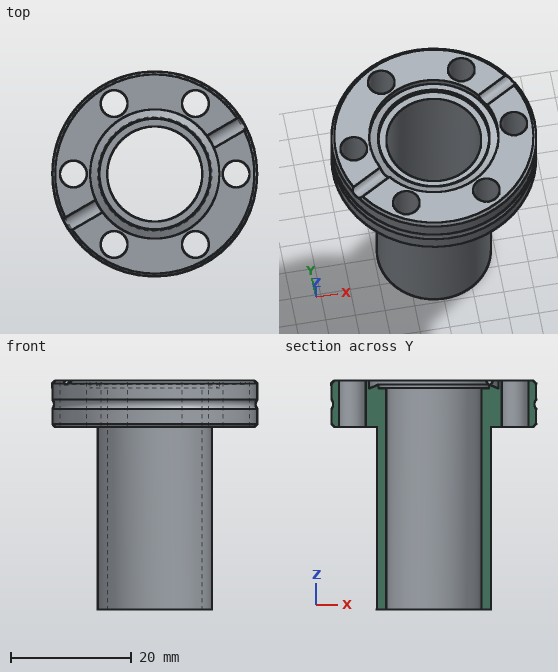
import cadquery as cq
import math

total_height = 38.0
flange_diameter = 34.0
flange_thickness = 7.75
flange_chamfer = 0.5
tube_diameter = 19.0
bore_diameter = 15.75

groove_top_depth = 3.2
groove_width = 1.52
groove_depth = 0.25

recess_diameter = 21.45
recess_depth = 1.3
knife_diameter = 18.3
knife_tip_depth = 0.7
knife_tip_width = 0.1
seat_depth = 1.3

bolt_count = 6
bolt_circle_diameter = 26.98
bolt_hole_diameter = 4.4

channel_width = 2.35
channel_depth = 0.7
channel_angle = 30.0

flange_radius = flange_diameter / 2
flange_bottom = total_height - flange_thickness
groove_top = total_height - groove_top_depth
channel_radius = channel_width**2 / (8 * channel_depth) + channel_depth / 2


def make_body():
    """Chamfered flange on top of the tube, still solid inside."""
    tube = cq.Workplane("XY").circle(tube_diameter / 2).extrude(total_height)
    flange = (
        cq.Workplane("XY", origin=(0, 0, flange_bottom))
        .circle(flange_radius)
        .extrude(flange_thickness)
        .edges()
        .chamfer(flange_chamfer)
    )
    return tube.union(flange)


def make_rim_groove():
    """Ring cutter with an arc-shaped section."""
    groove_middle = (flange_radius - groove_depth, groove_top - groove_width / 2)
    return (
        cq.Workplane("XZ")
        .moveTo(flange_radius, groove_top)
        .threePointArc(groove_middle, (flange_radius, groove_top - groove_width))
        .close()
        .revolve(360, (0, 0, 0), (0, 1, 0))
    )


def make_seal_recess():
    """Cutter that leaves the knife edge standing between the recess and the inner seat."""
    profile = [
        (0, total_height),
        (recess_diameter / 2, total_height),
        (recess_diameter / 2, total_height - recess_depth),
        (knife_diameter / 2 + knife_tip_width, total_height - knife_tip_depth),
        (knife_diameter / 2, total_height - knife_tip_depth),
        (knife_diameter / 2, total_height - seat_depth),
        (0, total_height - seat_depth),
    ]
    return cq.Workplane("XZ").polyline(profile).close().revolve(360, (0, 0, 0), (0, 1, 0))


def make_bolt_holes():
    return (
        cq.Workplane("XY", origin=(0, 0, flange_bottom))
        .polarArray(bolt_circle_diameter / 2, 0, 360, bolt_count)
        .circle(bolt_hole_diameter / 2)
        .extrude(flange_thickness)
    )


def make_channels():
    """Two opposite channels running from the seal recess to the rim."""
    channels = cq.Workplane("XY")
    axis_height = total_height - channel_depth + channel_radius
    for angle in (channel_angle, channel_angle + 180):
        direction = cq.Vector(math.cos(math.radians(angle)), math.sin(math.radians(angle)), 0)
        start = direction * (knife_diameter / 2) + cq.Vector(0, 0, axis_height)
        length = flange_radius - knife_diameter / 2
        channels = channels.add(cq.Solid.makeCylinder(channel_radius, length, start, direction))
    return channels.combine()


bore = cq.Workplane("XY").circle(bore_diameter / 2).extrude(total_height)

result = make_body()
for cutter in (bore, make_rim_groove(), make_seal_recess(), make_bolt_holes(), make_channels()):
    result = result.cut(cutter)